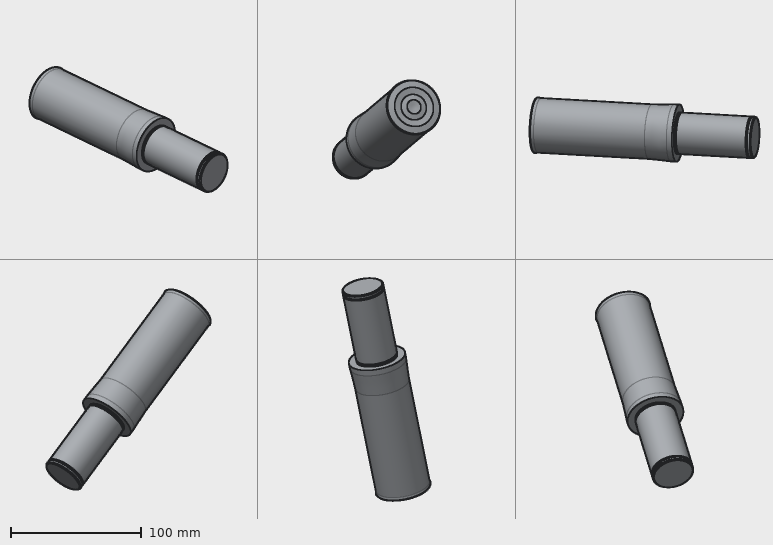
import cadquery as cq

TOTAL_LENGTH = 173.0
FACE_EDGE_X = 0.9
LIP_X = 1.7
LIP_END_X = 4.0
FLARE_START_X = 90.8
COLLAR_START_X = 108.1
COLLAR_END_X = 112.6

BODY_DIAMETER = 42.0
LIP_DIAMETER = 42.9
COLLAR_DIAMETER = 44.0

FACE_DIAMETER = 41.5
OUTER_RIDGE_DIAMETER = 30.8
VALLEY_DIAMETER = 20.0
INNER_RIDGE_DIAMETER = 11.0
RING_DEPTH = 0.9

SHANK_DIAMETER = 32.0
GROOVE_DIAMETER = 31.5
GROOVE_WIDTH = 1.4
GROOVE_WALL_LENGTH = 0.5
INNER_GROOVE_X = 113.3
OUTER_GROOVE_X = 168.8
END_CHAMFER = 0.9


def make_housing():
    """Solid of revolution with a ringed end face, a lip, a conical flare and a collar."""
    profile = (
        cq.Workplane("XY")
        .moveTo(RING_DEPTH, 0)
        .lineTo(0, INNER_RIDGE_DIAMETER / 2)
        .lineTo(RING_DEPTH, VALLEY_DIAMETER / 2)
        .lineTo(0, OUTER_RIDGE_DIAMETER / 2)
        .lineTo(FACE_EDGE_X, FACE_DIAMETER / 2)
        .lineTo(LIP_X, LIP_DIAMETER / 2)
        .lineTo(LIP_END_X, BODY_DIAMETER / 2)
        .lineTo(FLARE_START_X, BODY_DIAMETER / 2)
        .lineTo(COLLAR_START_X, COLLAR_DIAMETER / 2)
        .lineTo(COLLAR_END_X, COLLAR_DIAMETER / 2)
        .lineTo(COLLAR_END_X, 0)
        .close()
    )
    return profile.revolve(360, (0, 0, 0), (1, 0, 0))


def make_groove_cutter(start_x):
    """Ring that cuts one groove with sloping walls, starting at start_x."""
    end_x = start_x + GROOVE_WIDTH
    profile = (
        cq.Workplane("XY")
        .moveTo(start_x, SHANK_DIAMETER / 2)
        .lineTo(start_x + GROOVE_WALL_LENGTH, GROOVE_DIAMETER / 2)
        .lineTo(end_x - GROOVE_WALL_LENGTH, GROOVE_DIAMETER / 2)
        .lineTo(end_x, SHANK_DIAMETER / 2)
        .close()
    )
    return profile.revolve(360, (0, 0, 0), (1, 0, 0))


def make_shank():
    """Round shank seated on the collar face, chamfered at its free end and grooved near both ends."""
    shank = (
        cq.Workplane("YZ", origin=(COLLAR_END_X, 0, 0))
        .circle(SHANK_DIAMETER / 2)
        .extrude(TOTAL_LENGTH - COLLAR_END_X)
        .faces(">X")
        .chamfer(END_CHAMFER)
    )
    for groove_x in (INNER_GROOVE_X, OUTER_GROOVE_X):
        shank = shank.cut(make_groove_cutter(groove_x))
    return shank


housing = make_housing()
shank = make_shank()
result = cq.Compound.makeCompound([housing.val(), shank.val()])